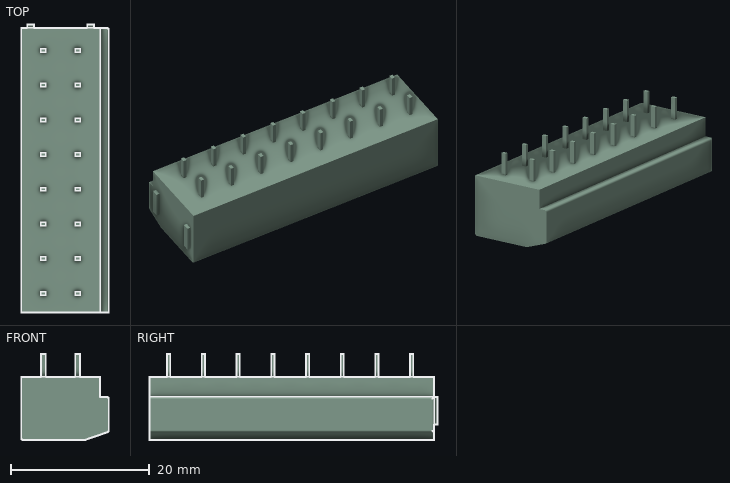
import cadquery as cq

TOTAL_WIDTH = 12.6
TOTAL_LENGTH = 41.5
TOTAL_HEIGHT = 12.4

LUG_DEPTH = 0.5
BODY_LENGTH = TOTAL_LENGTH - LUG_DEPTH
PIN_HEIGHT = 3.28
BODY_HEIGHT = TOTAL_HEIGHT - PIN_HEIGHT
TOP_WIDTH = 11.37
LEDGE_HEIGHT = 6.22
SLOPE_RISE = 1.2
SLOPE_START = 9.15
EDGE_RADIUS = 0.3

PIN_SIZE_X = 0.7
PIN_SIZE_Y = 0.5
ROWS = 2
ROW_PITCH = 4.95
PINS_PER_ROW = 8
ROW_LENGTH = 35.0
PIN_PITCH = ROW_LENGTH / (PINS_PER_ROW - 1)
FIRST_PIN_X = 3.2
FIRST_PIN_Y = 2.8

LUG_WIDTH = 1.0
LUG_BOTTOM = 2.25
LUG_STARTS = (0.87, 9.5)

OVERLAP = 0.4


def make_housing():
    """Extrude the stepped cross-section along Y and round its small edges."""
    outline = [
        (0, 0),
        (SLOPE_START, 0),
        (TOTAL_WIDTH, SLOPE_RISE),
        (TOTAL_WIDTH, LEDGE_HEIGHT),
        (TOP_WIDTH, LEDGE_HEIGHT),
        (TOP_WIDTH, BODY_HEIGHT),
        (0, BODY_HEIGHT),
    ]
    housing = cq.Workplane("XZ").polyline(outline).close().extrude(-BODY_LENGTH)
    housing = housing.edges("|Y").edges("<X").edges("<Z").fillet(EDGE_RADIUS)
    ledge_face = housing.faces(">X")
    return housing.newObject(ledge_face.edges("|Y or >Y").vals()).fillet(EDGE_RADIUS)


def make_pin(row, place):
    """One rectangular leg standing on the top face."""
    x = FIRST_PIN_X + row * ROW_PITCH
    y = FIRST_PIN_Y + place * PIN_PITCH
    return (
        cq.Workplane("XY", origin=(x, y, BODY_HEIGHT - OVERLAP))
        .rect(PIN_SIZE_X, PIN_SIZE_Y)
        .extrude(PIN_HEIGHT + OVERLAP)
    )


def make_lug(start_x):
    """One upright key on the +Y end face, level with the ledge at its top."""
    size = (LUG_WIDTH, LUG_DEPTH + OVERLAP, LEDGE_HEIGHT - LUG_BOTTOM)
    corner = (start_x, BODY_LENGTH - OVERLAP, LUG_BOTTOM)
    return cq.Workplane("XY").box(*size, centered=False).translate(corner)


result = make_housing()
for lug_start in LUG_STARTS:
    result = result.union(make_lug(lug_start))
for row in range(ROWS):
    for place in range(PINS_PER_ROW):
        result = result.union(make_pin(row, place))